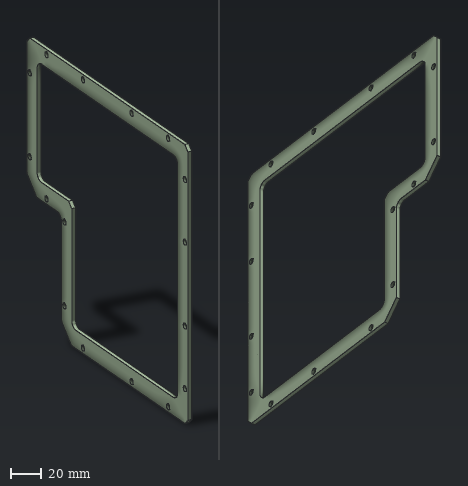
import cadquery as cq

width = 206.2
height = 203.1
thickness = 3.0

rail = 13.5
step_x = -58.8
step_z = -11.1

corner_chamfer = 4.0
notch_chamfer = 12.8
inner_radius = 5.4

hole_diameter = 4.1
hole_inset = 4.0

left, right = -width / 2, width / 2
bottom, top = -height / 2, height / 2


def notched_plate(inset):
    """Rectangle without its lower left corner, drawn inside the outer outline by inset."""
    points = [
        (left + inset, top - inset),
        (right - inset, top - inset),
        (right - inset, bottom + inset),
        (step_x + inset, bottom + inset),
        (step_x + inset, step_z + inset),
        (left + inset, step_z + inset),
    ]
    return cq.Workplane("XZ").polyline(points).close().extrude(thickness / 2, both=True)


def edge_at(x, z):
    """Selector for the single thickness edge nearest to a corner."""
    return cq.selectors.NearestToPointSelector((x, 0, z))


def outer_body():
    body = notched_plate(0)
    for x, z in [(left, top), (right, top), (right, bottom)]:
        body = body.edges("|Y").edges(edge_at(x, z)).chamfer(corner_chamfer)
    for x, z in [(left, step_z), (step_x, bottom)]:
        body = body.edges("|Y").edges(edge_at(x, z)).chamfer(notch_chamfer)
    return body.edges("|Y").edges(edge_at(step_x, step_z)).fillet(inner_radius)


def opening():
    body = notched_plate(rail)
    notch_corner = (step_x + rail, step_z + rail)
    body = body.edges("|Y").edges(edge_at(*notch_corner)).chamfer(corner_chamfer)
    rounded_corners = [
        (left + rail, top - rail),
        (right - rail, top - rail),
        (right - rail, bottom + rail),
        (step_x + rail, bottom + rail),
        (left + rail, step_z + rail),
    ]
    for x, z in rounded_corners:
        body = body.edges("|Y").edges(edge_at(x, z)).fillet(inner_radius)
    return body


top_hole_x = [-77.7, -31.1, 31.1, 77.7]
bottom_hole_x = top_hole_x[1:]
right_hole_z = [-76.0, -30.5, 30.5, 76.0]
left_hole_z = [15.0, 76.0]
step_hole_x = -77.7
step_hole_z = [-76.0, -15.0]

hole_centres = [(x, top - hole_inset) for x in top_hole_x]
hole_centres += [(x, bottom + hole_inset) for x in bottom_hole_x]
hole_centres += [(right - hole_inset, z) for z in right_hole_z]
hole_centres += [(left + hole_inset, z) for z in left_hole_z]
hole_centres += [(step_x + hole_inset, z) for z in step_hole_z]
hole_centres.append((step_hole_x, step_z + hole_inset))

holes = (
    cq.Workplane("XZ")
    .pushPoints(hole_centres)
    .circle(hole_diameter / 2)
    .extrude(thickness, both=True)
)

result = outer_body().cut(opening()).cut(holes)